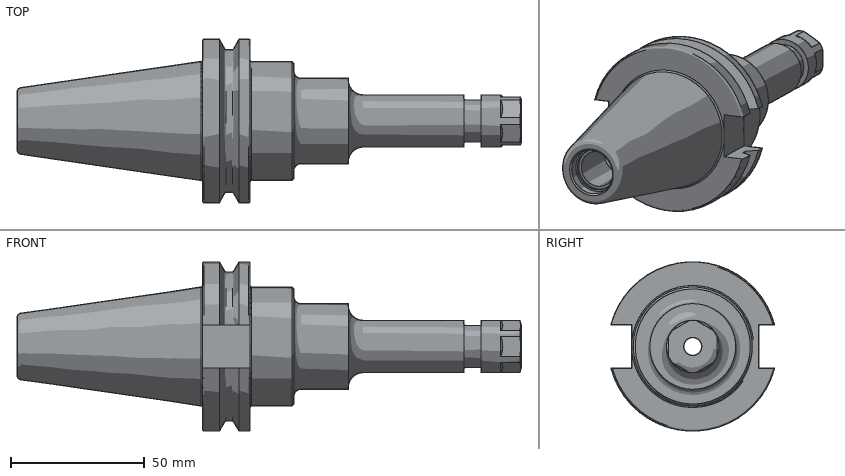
import cadquery as cq
import math

OVERALL_LENGTH = 188.2
BORE_RADIUS = 6.5 / 2
EDGE_TOLERANCE = 0.02

GAUGE_RADIUS = 44.5 / 2
GAUGE_X = 68.3
TAPER_SLOPE = 7 / 48
TAPER_END_ROUND = 1.7
TAPER_END_RADIUS = GAUGE_RADIUS - TAPER_SLOPE * GAUGE_X

FLANGE_START_X = 69.3
FLANGE_END_X = 87.0
FLANGE_RADIUS = 63.3 / 2
FLANGE_RIM_ROUND = 0.5
FLANGE_ROOT_ROUND = 0.5
GROOVE_START_X = 75.5
GROOVE_MOUTH_WIDTH = 7.3
GROOVE_MID_X = GROOVE_START_X + GROOVE_MOUTH_WIDTH / 2
GROOVE_DEPTH = 3.8
GROOVE_FLOOR_RADIUS = FLANGE_RADIUS - GROOVE_DEPTH
GROOVE_WALL_ANGLE = 30
GROOVE_FLOOR_ROUND = 0.5
GROOVE_FLOOR_WIDTH = GROOVE_MOUTH_WIDTH - 2 * GROOVE_DEPTH * math.tan(math.radians(GROOVE_WALL_ANGLE))
SLOT_WIDTH = 16.2
FRONT_SLOT_FLOOR = 22.8
BACK_SLOT_FLOOR = 24.7

COLLAR_END_X = 103.3
COLLAR_CHAMFER = 0.8
STEP_RADIUS = 32 / 2
STEP_ROOT_ROUND = 2.6
STEP_END_X = 123.7
SHANK_RADIUS = 19.5 / 2
SHANK_ROOT_ROUND = 5.5
SHANK_END_X = 166.8
NECK_RADIUS = 15.8 / 2
NECK_ROOT_ROUND = 0.5

MOUTH_RADIUS = 17.9 / 2
PILOT_RADIUS = 16.8 / 2
PILOT_DEPTH = 4.3
RELIEF_RADIUS = 15.5 / 2
RELIEF_END_X = 5.5
THREAD_RADIUS = 13.4 / 2
THREAD_END_X = 26.4
SOCKET_TIP_ANGLE = 118

NUT_START_X = 173.2
NUT_RADIUS = SHANK_RADIUS
NUT_FLAT_DISTANCE = 9.0
NUT_FLATS_X = 180.5
NUT_FLAT_COUNT = 6
NUT_CHAMFER_LENGTH = 0.5
NUT_END_RADIUS = 15.8 / 2


def revolve_about_x(outline):
    """Turn a closed half outline drawn in (X, radius) about the X axis."""
    return outline.close().revolve(360, (0, 0, 0), (1, 0, 0))


def round_circle(solid, x, radius, size):
    """Fillet the circular edge of the given radius at X."""
    circles = [
        edge
        for edge in cq.Workplane(solid).edges("%CIRCLE").vals()
        if abs(edge.Center().x - x) < EDGE_TOLERANCE and abs(edge.radius() - radius) < EDGE_TOLERANCE
    ]
    return solid.fillet(size, circles)


def make_turned_holder():
    """Holder outside, turned with sharp corners and then rounded."""
    half_mouth = GROOVE_MOUTH_WIDTH / 2
    half_floor = GROOVE_FLOOR_WIDTH / 2
    outline = (
        cq.Workplane("XY")
        .moveTo(0, 0)
        .lineTo(0, TAPER_END_RADIUS)
        .lineTo(GAUGE_X, GAUGE_RADIUS)
        .lineTo(FLANGE_START_X, GAUGE_RADIUS)
        .lineTo(FLANGE_START_X, FLANGE_RADIUS)
        .lineTo(GROOVE_MID_X - half_mouth, FLANGE_RADIUS)
        .lineTo(GROOVE_MID_X - half_floor, GROOVE_FLOOR_RADIUS)
        .lineTo(GROOVE_MID_X + half_floor, GROOVE_FLOOR_RADIUS)
        .lineTo(GROOVE_MID_X + half_mouth, FLANGE_RADIUS)
        .lineTo(FLANGE_END_X, FLANGE_RADIUS)
        .lineTo(FLANGE_END_X, GAUGE_RADIUS)
        .lineTo(COLLAR_END_X - COLLAR_CHAMFER, GAUGE_RADIUS)
        .lineTo(COLLAR_END_X, GAUGE_RADIUS - COLLAR_CHAMFER)
        .lineTo(COLLAR_END_X, STEP_RADIUS)
        .lineTo(STEP_END_X, STEP_RADIUS)
        .lineTo(STEP_END_X, SHANK_RADIUS)
        .lineTo(SHANK_END_X, SHANK_RADIUS)
        .lineTo(SHANK_END_X, NECK_RADIUS)
        .lineTo(NUT_START_X, NECK_RADIUS)
        .lineTo(NUT_START_X, 0)
    )
    blank = revolve_about_x(outline).val()

    blank = round_circle(blank, 0, TAPER_END_RADIUS, TAPER_END_ROUND)
    for face_x in (FLANGE_START_X, FLANGE_END_X):
        blank = round_circle(blank, face_x, FLANGE_RADIUS, FLANGE_RIM_ROUND)
        blank = round_circle(blank, face_x, GAUGE_RADIUS, FLANGE_ROOT_ROUND)
    for corner_x in (GROOVE_MID_X - half_floor, GROOVE_MID_X + half_floor):
        blank = round_circle(blank, corner_x, GROOVE_FLOOR_RADIUS, GROOVE_FLOOR_ROUND)
    blank = round_circle(blank, COLLAR_END_X, STEP_RADIUS, STEP_ROOT_ROUND)
    blank = round_circle(blank, STEP_END_X, SHANK_RADIUS, SHANK_ROOT_ROUND)
    blank = round_circle(blank, SHANK_END_X, NECK_RADIUS, NECK_ROOT_ROUND)
    return cq.Workplane(blank)


def make_socket():
    """Pull-stud pilot, thread hole with its drill tip, and the through bore."""
    tip_length = (THREAD_RADIUS - BORE_RADIUS) / math.tan(math.radians(SOCKET_TIP_ANGLE / 2))
    outline = (
        cq.Workplane("XY")
        .moveTo(0, 0)
        .lineTo(0, MOUTH_RADIUS)
        .lineTo(MOUTH_RADIUS - PILOT_RADIUS, PILOT_RADIUS)
        .lineTo(PILOT_DEPTH, PILOT_RADIUS)
        .lineTo(PILOT_DEPTH, RELIEF_RADIUS)
        .lineTo(RELIEF_END_X, RELIEF_RADIUS)
        .lineTo(RELIEF_END_X, THREAD_RADIUS)
        .lineTo(THREAD_END_X, THREAD_RADIUS)
        .lineTo(THREAD_END_X + tip_length, BORE_RADIUS)
        .lineTo(NUT_START_X, BORE_RADIUS)
        .lineTo(NUT_START_X, 0)
    )
    return revolve_about_x(outline)


def make_drive_slot(side, floor_distance):
    """Cutter for one drive slot; side is -1 toward -Y and +1 toward +Y."""
    flange_width = FLANGE_END_X - FLANGE_START_X
    slot_depth = FLANGE_RADIUS - floor_distance
    middle_x = (FLANGE_START_X + FLANGE_END_X) / 2
    middle_y = side * (floor_distance + slot_depth / 2)
    return cq.Workplane("XY").box(flange_width, slot_depth, SLOT_WIDTH).translate((middle_x, middle_y, 0))


def make_holder():
    return (
        make_turned_holder()
        .cut(make_socket())
        .cut(make_drive_slot(-1, FRONT_SLOT_FLOOR))
        .cut(make_drive_slot(1, BACK_SLOT_FLOOR))
    )


def make_nut_cone():
    """45 degree cone that the flats run out against."""
    outline = (
        cq.Workplane("XY")
        .moveTo(NUT_FLATS_X, 0)
        .lineTo(NUT_FLATS_X, NUT_RADIUS)
        .lineTo(NUT_FLATS_X + NUT_RADIUS, 0)
    )
    return revolve_about_x(outline)


def make_nut():
    """Round nut with wrench flats, butted against the end of the neck."""
    outline = (
        cq.Workplane("XY")
        .moveTo(NUT_START_X, BORE_RADIUS)
        .lineTo(NUT_START_X, NUT_RADIUS)
        .lineTo(OVERALL_LENGTH - NUT_CHAMFER_LENGTH, NUT_RADIUS)
        .lineTo(OVERALL_LENGTH, NUT_END_RADIUS)
        .lineTo(OVERALL_LENGTH, BORE_RADIUS)
    )
    nut = revolve_about_x(outline)

    flat_length = OVERALL_LENGTH - NUT_FLATS_X
    flat_cutter = (
        cq.Workplane("XY")
        .box(flat_length, NUT_RADIUS, 2 * NUT_RADIUS)
        .translate((NUT_FLATS_X + flat_length / 2, -NUT_FLAT_DISTANCE - NUT_RADIUS / 2, 0))
        .cut(make_nut_cone())
    )
    for index in range(NUT_FLAT_COUNT):
        angle = index * 360 / NUT_FLAT_COUNT
        nut = nut.cut(flat_cutter.rotate((0, 0, 0), (1, 0, 0), angle))
    return nut


holder = make_holder()
nut = make_nut()

result = cq.Compound.makeCompound([holder.val(), nut.val()])